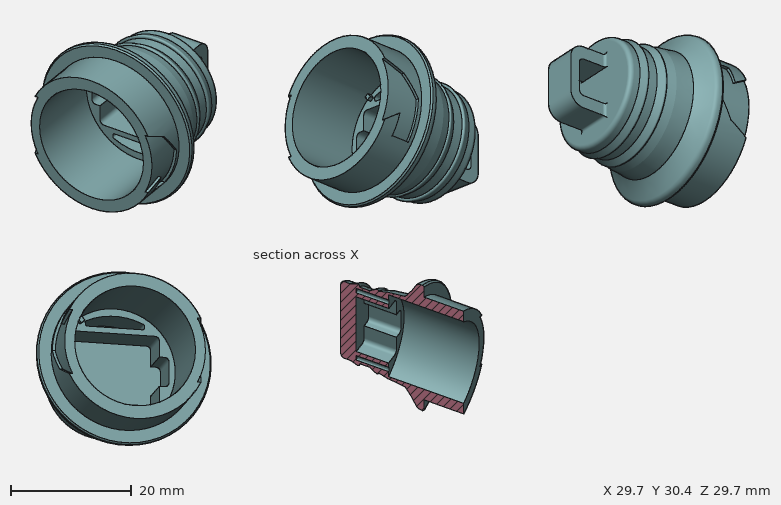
import cadquery as cq
import math


flange_face_y = 7.38
flange_rim_start_y = 7.7
flange_rim_end_y = 7.95
flare_bend_y = 9.3
cone_base_y = 11.05
cone_break_y = 14.23
body_end_y = 23.13
total_length = 30.35

bore_radius = 10.3
skirt_radius = 12.5
flange_diameter = 29.7
flange_radius = flange_diameter / 2
flange_chamfer = 0.25
flare_bend_radius = 13.75
flare_base_angle = 46.0
cone_base_radius = 11.25
cone_break_radius = 10.87
body_radius = 9.9
body_end_fillet = 0.8

ring_crest_round = 0.3
front_ring_radius = 10.68
front_ring_back_y = 15.95
front_ring_slope_end_y = 17.6
rear_ring_radius = 10.38
rear_ring_back_y = 19.55
rear_ring_slope_end_y = 21.18

bore_depth = 14.08
pocket_depth = 6.07
pocket_half_width = 7.6
pocket_half_height = 6.05
pocket_wing_half_width = 9.23
pocket_wing_half_height = 2.52
pocket_corner_radius = 0.8
side_pocket_flat_z = 7.0
side_pocket_crown_z = 9.0
side_pocket_half_width = 5.05
side_pocket_arc_radius = 11.53
side_pocket_corner_radius = 0.35

key_width = 0.8
key_height = 0.8
key_inner_radius = 9.4
key_angle = 126.8

track_floor_radius = 12.0
track_end_y = 6.62
track_neck_y = 3.75
track_lip_y = 2.85
track_mouth_half_z = 5.52
track_neck_half_z = 3.73
track_lock_z = 7.3
track_end_z = 0.18

loop_width = 6.1
loop_half_height = 5.83
loop_outer_radius = 2.6
loop_side_thickness = 2.35
loop_end_thickness = 1.75
loop_inner_radius = 0.97
loop_base_fillet = 0.5


def add_ring(profile, back_y, crest_radius, slope_end_y):
    centre_y = back_y + ring_crest_round
    centre_radius = crest_radius - ring_crest_round
    slope_run = slope_end_y - centre_y
    slope_drop = centre_radius - body_radius
    tangent_angle = math.acos(ring_crest_round / math.hypot(slope_run, slope_drop))
    slope_start_angle = tangent_angle - math.atan2(slope_drop, slope_run)

    def crest_point(angle):
        return (
            centre_y + ring_crest_round * math.cos(angle),
            centre_radius + ring_crest_round * math.sin(angle),
        )

    return (
        profile.lineTo(back_y, centre_radius)
        .threePointArc(crest_point(math.pi / 2), crest_point(slope_start_angle))
        .lineTo(slope_end_y, body_radius)
    )


def revolved_body():
    flare_points = [(flare_bend_y, flare_bend_radius), (cone_base_y, cone_base_radius)]
    base_angle = math.radians(flare_base_angle)
    rim_direction = (1, 0)
    base_direction = (math.cos(base_angle), -math.sin(base_angle))
    profile = (
        cq.Workplane("YZ")
        .moveTo(0, bore_radius)
        .lineTo(0, skirt_radius)
        .lineTo(flange_face_y, skirt_radius)
        .lineTo(flange_face_y, flange_radius - flange_chamfer)
        .lineTo(flange_rim_start_y, flange_radius)
        .lineTo(flange_rim_end_y, flange_radius)
        .spline(flare_points, tangents=[rim_direction, base_direction], includeCurrent=True)
        .lineTo(cone_break_y, cone_break_radius)
    )
    profile = add_ring(profile, front_ring_back_y, front_ring_radius, front_ring_slope_end_y)
    profile = profile.lineTo(rear_ring_back_y, body_radius)
    profile = add_ring(profile, rear_ring_back_y, rear_ring_radius, rear_ring_slope_end_y)
    profile = (
        profile.lineTo(body_end_y - body_end_fillet, body_radius)
        .tangentArcPoint((body_end_y, body_radius - body_end_fillet), relative=False)
        .lineTo(body_end_y, 0)
        .lineTo(bore_depth, 0)
        .lineTo(bore_depth, bore_radius)
        .close()
    )
    return profile.revolve(360, (0, 0, 0), (1, 0, 0))


def pull_loop():
    height = 2 * loop_half_height
    length = total_length - body_end_y
    return (
        cq.Workplane("XY")
        .box(loop_width, length, height)
        .translate((0, body_end_y + length / 2, 0))
        .edges("|X and >Y")
        .fillet(loop_outer_radius)
    )


def fillet_loop_base(body):
    margin = 0.03
    near_base = cq.selectors.BoxSelector(
        (-loop_width / 2 - margin, body_end_y - margin, -loop_half_height - margin),
        (loop_width / 2 + margin, body_end_y + margin, loop_half_height + margin),
    )
    return body.edges(near_base).fillet(loop_base_fillet)


def loop_window():
    half_height = loop_half_height - loop_side_thickness
    length = total_length - loop_end_thickness - body_end_y
    return (
        cq.Workplane("XY")
        .box(2 * loop_width, length, 2 * half_height)
        .translate((0, body_end_y + length / 2, 0))
        .edges("|X and >Y")
        .fillet(loop_inner_radius)
    )


def floor_plane():
    return cq.Workplane("XZ", origin=(0, bore_depth, 0))


def centre_pocket():
    def block(half_width, half_height):
        return (
            floor_plane()
            .rect(2 * half_width, 2 * half_height)
            .extrude(-pocket_depth)
            .edges("|Y")
            .fillet(pocket_corner_radius)
        )

    wings = block(pocket_wing_half_width, pocket_wing_half_height)
    return block(pocket_half_width, pocket_half_height).union(wings)


def side_pocket():
    crown_drop = side_pocket_arc_radius - math.sqrt(side_pocket_arc_radius**2 - side_pocket_half_width**2)
    shoulder_z = side_pocket_crown_z - crown_drop
    return (
        floor_plane()
        .moveTo(-side_pocket_half_width, side_pocket_flat_z)
        .lineTo(side_pocket_half_width, side_pocket_flat_z)
        .lineTo(side_pocket_half_width, shoulder_z)
        .threePointArc((0, side_pocket_crown_z), (-side_pocket_half_width, shoulder_z))
        .close()
        .extrude(-pocket_depth)
        .edges("|Y")
        .fillet(side_pocket_corner_radius)
    )


def floor_key():
    outer_radius = (bore_radius + cone_break_radius) / 2
    length = outer_radius - key_inner_radius
    return (
        cq.Workplane("XY")
        .box(length, key_height, key_width)
        .translate((key_inner_radius + length / 2, bore_depth - key_height / 2, 0))
        .rotate((0, 0, 0), (0, 1, 0), -key_angle)
    )


def bayonet_track():
    outline = [
        (0, track_mouth_half_z),
        (track_lip_y, track_neck_half_z),
        (track_lip_y, track_lock_z),
        (track_end_y, track_lock_z),
        (track_end_y, track_end_z),
        (track_neck_y, -track_neck_half_z),
        (0, -track_mouth_half_z),
    ]
    core = cq.Workplane("XZ").circle(track_floor_radius).extrude(-flange_face_y)
    return cq.Workplane("YZ").polyline(outline).close().extrude(-flange_radius).cut(core)


result = fillet_loop_base(revolved_body().union(pull_loop())).cut(loop_window())
result = result.cut(centre_pocket())
for turn in (0, 180):
    result = result.cut(side_pocket().rotate((0, 0, 0), (0, 1, 0), turn))
    result = result.cut(bayonet_track().rotate((0, 0, 0), (0, 1, 0), turn))
result = result.union(floor_key())